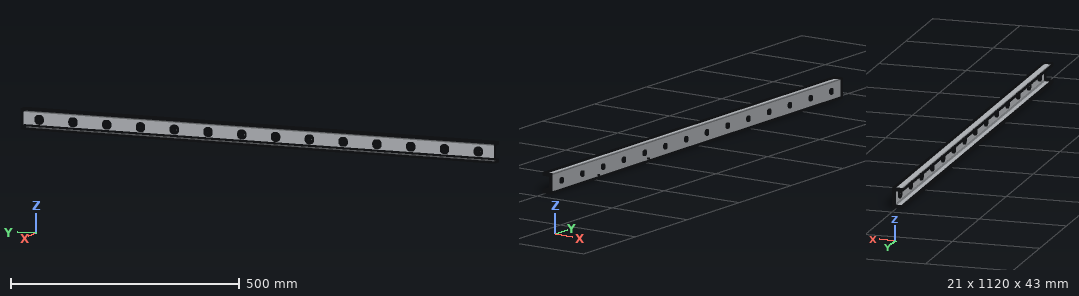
import cadquery as cq

RAIL_DEPTH = 21.0
RAIL_LENGTH = 1120.0
RAIL_HEIGHT = 43.0

WEB_THICKNESS = 4.5
FLANGE_THICKNESS = 4.0
OUTER_CORNER_RADIUS = 0.9
INNER_CORNER_RADIUS = 1.0

HOLE_COUNT = 14
HOLE_PITCH = RAIL_LENGTH / HOLE_COUNT
HOLE_DIAMETER = 9.0
COUNTERSINK_DIAMETER = 17.5
COUNTERSINK_ANGLE = 90.0

X_OPEN = -RAIL_DEPTH / 2
X_WEB_FACE = RAIL_DEPTH / 2 - WEB_THICKNESS


def make_bar():
    """Solid bar with its four long outer edges rounded."""
    bar = cq.Workplane("XY").box(RAIL_DEPTH, RAIL_LENGTH, RAIL_HEIGHT)
    return bar.edges("|Y").fillet(OUTER_CORNER_RADIUS)


def make_channel():
    """Full-length channel cutter with rounded corners at the web."""
    channel_depth = X_WEB_FACE - X_OPEN
    channel_height = RAIL_HEIGHT - 2 * FLANGE_THICKNESS
    channel = cq.Workplane("XY").box(channel_depth, RAIL_LENGTH, channel_height)
    channel = channel.edges("|Y and >X").fillet(INNER_CORNER_RADIUS)
    return channel.translate(((X_OPEN + X_WEB_FACE) / 2, 0, 0))


def drill_mounting_holes(rail):
    """Evenly spaced holes through the web, countersunk from the channel side."""
    web_face = cq.Plane(origin=(X_WEB_FACE, 0, 0), xDir=(0, 1, 0), normal=(-1, 0, 0))
    return (
        rail.copyWorkplane(cq.Workplane(web_face))
        .rarray(HOLE_PITCH, RAIL_HEIGHT, HOLE_COUNT, 1)
        .cskHole(HOLE_DIAMETER, COUNTERSINK_DIAMETER, COUNTERSINK_ANGLE, WEB_THICKNESS)
    )


result = drill_mounting_holes(make_bar().cut(make_channel()))